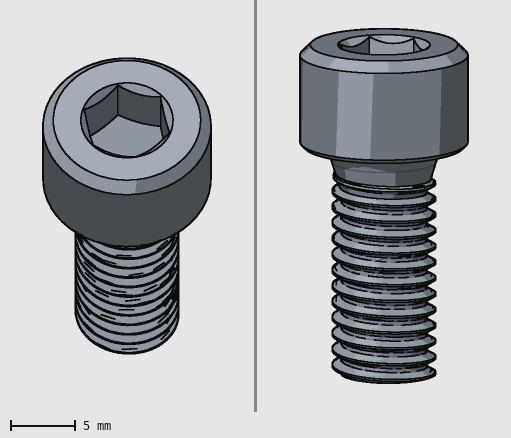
import cadquery as cq
import math

total_length = 26.0
head_diameter = 13.0
head_height = 8.0
head_top_chamfer = 0.8
head_bottom_chamfer = 0.35
shank_length = total_length - head_height

thread_diameter = 8.0
thread_pitch = thread_diameter * 5 / 32
crest_radius = thread_diameter / 2
crest_half_width = thread_pitch / 16
ridge_half_width = 3 * thread_pitch / 8
ridge_height = (ridge_half_width - crest_half_width) * math.sqrt(3)
core_radius = crest_radius - ridge_height
crest_height_at_plus_x = 0.6
flank_points = 12
thread_top = shank_length - 0.57

neck_cone_slope = 0.3
neck_cone_top_radius = 4.05
neck_cone_top = shank_length - 1.17
neck_arc_top_radius = 4.55
neck_arc_top = shank_length - 0.15
neck_rim_radius = 4.73
neck_bottom = shank_length - 3.95

runout_start = shank_length - 3.12
runout_slope = 0.12
runout_lead_in = 0.25
runout_outer_radius = 5.2

socket_sides = 6
socket_across_flats = 6.0
socket_depth = 4.0
socket_mouth_radius = 3.55
socket_floor_angle = 120
socket_corner_radius = socket_across_flats / math.sqrt(3)


def make_head():
    head = cq.Workplane("XY", (0, 0, shank_length)).circle(head_diameter / 2).extrude(head_height)
    head = head.faces(">Z").chamfer(head_top_chamfer)
    return head.faces("<Z").chamfer(head_bottom_chamfer)


def make_neck():
    cone_bottom_radius = neck_cone_top_radius - neck_cone_slope * (neck_cone_top - neck_bottom)
    return (
        cq.Workplane("XZ")
        .moveTo(0, neck_bottom)
        .lineTo(cone_bottom_radius, neck_bottom)
        .lineTo(neck_cone_top_radius, neck_cone_top)
        .tangentArcPoint((neck_arc_top_radius, neck_arc_top), relative=False)
        .lineTo(neck_rim_radius, shank_length)
        .lineTo(0, shank_length)
        .close()
        .revolve(360, (0, 0, 0), (0, 1, 0))
    )


def polar_point(radius, angle):
    return (radius * math.cos(angle), radius * math.sin(angle))


def make_thread():
    turn_per_length = 2 * math.pi / thread_pitch
    crest_angle = crest_half_width * turn_per_length
    ridge_angle = ridge_half_width * turn_per_length

    def falling_flank(t):
        return polar_point(
            crest_radius - t * ridge_height,
            crest_angle + t * (ridge_angle - crest_angle),
        )

    def rising_flank(t):
        x, y = falling_flank(1 - t)
        return (x, -y)

    section = (
        cq.Workplane("XY")
        .moveTo(*polar_point(crest_radius, -crest_angle))
        .threePointArc((crest_radius, 0), polar_point(crest_radius, crest_angle))
        .parametricCurve(falling_flank, N=flank_points, makeWire=False)
        .threePointArc((-core_radius, 0), polar_point(core_radius, -ridge_angle))
        .parametricCurve(rising_flank, N=flank_points, makeWire=False)
        .wire()
    )
    thread = section.twistExtrude(thread_top, -math.degrees(thread_top * turn_per_length))
    start_angle = math.degrees(crest_height_at_plus_x * turn_per_length)
    return thread.rotate((0, 0, 0), (0, 0, 1), start_angle)


def make_runout_trim():
    runout_top_radius = crest_radius - runout_slope * (shank_length - runout_start)
    runout_bottom = runout_start - runout_lead_in
    return (
        cq.Workplane("XZ")
        .moveTo(crest_radius + runout_slope * runout_lead_in, runout_bottom)
        .lineTo(runout_top_radius, shank_length)
        .lineTo(runout_outer_radius, shank_length)
        .lineTo(runout_outer_radius, runout_bottom)
        .close()
        .revolve(360, (0, 0, 0), (0, 1, 0))
    )


def make_socket():
    floor_drop = socket_corner_radius / math.tan(math.radians(socket_floor_angle / 2))
    floor = total_length - socket_depth
    hexagon = (
        cq.Workplane("XY")
        .workplane(offset=floor - floor_drop)
        .polygon(socket_sides, 2 * socket_corner_radius)
        .extrude(socket_depth + floor_drop)
        .rotate((0, 0, 0), (0, 0, 1), 180 / socket_sides)
    )
    drill = (
        cq.Workplane("XZ")
        .moveTo(0, floor - floor_drop)
        .lineTo(socket_corner_radius, floor)
        .lineTo(socket_corner_radius, total_length)
        .lineTo(0, total_length)
        .close()
        .revolve(360, (0, 0, 0), (0, 1, 0))
    )
    mouth = (
        cq.Workplane("XZ")
        .moveTo(0, total_length - socket_mouth_radius)
        .lineTo(socket_mouth_radius, total_length)
        .lineTo(0, total_length)
        .close()
        .revolve(360, (0, 0, 0), (0, 1, 0))
    )
    return hexagon.intersect(drill).union(mouth)


shank = make_thread().cut(make_runout_trim()).union(make_neck())
result = make_head().union(shank).cut(make_socket())